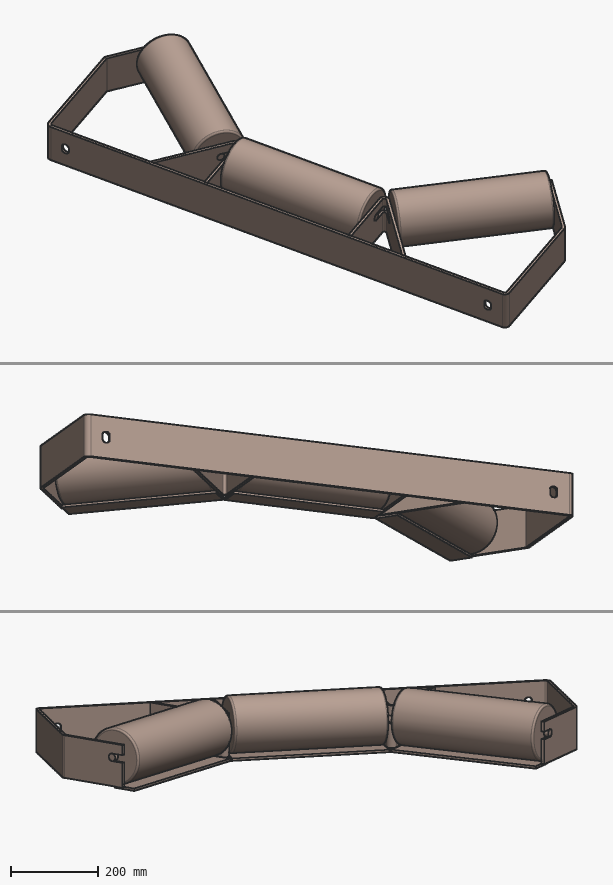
import cadquery as cq
import math

FRAME_WIDTH = 1210.0
STRIP_HEIGHT = 100.0
STRIP_THICKNESS = 7.0
STRIP_BASE = 5.0
BEND_RADIUS = 12.0
ARM_REACH = 29.0

ROLLER_DIAMETER = 133.0
ROLLER_LENGTH = 363.0
ROLLER_EDGE_RADIUS = 5.0
SHAFT_DIAMETER = 18.0
END_GAP = 4.0
SLAB_THICKNESS = 6.0
SLAB_WIDTH = 56.0
SLAB_OFFSET = 2.0

TROUGH_ANGLE = 40.0
CENTER_ROLLER_Y = 125.0
SIDE_ROLLER_X = 368.0
SIDE_ROLLER_Y = 257.0

MOUNT_HOLE_WIDTH = 18.0
MOUNT_HOLE_HEIGHT = 27.0
MOUNT_HOLE_X = 554.0

HALF_WIDTH = FRAME_WIDTH / 2
ROLLER_RADIUS = ROLLER_DIAMETER / 2
INNER_BEND_RADIUS = BEND_RADIUS - STRIP_THICKNESS
AXIS_Z = SLAB_THICKNESS + ROLLER_RADIUS
INNER_FACE = ROLLER_LENGTH / 2 + END_GAP
OUTER_FACE = INNER_FACE + STRIP_THICKNESS
COS = math.cos(math.radians(TROUGH_ANGLE))
SIN = math.sin(math.radians(TROUGH_ANGLE))


def side_point(along, across):
    """XY point given along (outward) and across (upward) the right-hand side roller's axis."""
    x = SIDE_ROLLER_X + along * COS - across * SIN
    y = SIDE_ROLLER_Y + along * SIN + across * COS
    return (x, y)


def arm_y(x, along):
    """Y where the sloping strip face at this distance along the side roller's axis crosses x."""
    return SIDE_ROLLER_Y + (along - (x - SIDE_ROLLER_X) * COS) / SIN


def arm_x(y, along):
    """X where the sloping strip face at this distance along the side roller's axis crosses y."""
    return SIDE_ROLLER_X + (along - (y - SIDE_ROLLER_Y) * SIN) / COS


def mirror_x(points):
    return [(-x, y) for x, y in reversed(points)]


def round_bends(strip, bends, radius):
    """Fillet the vertical edges of a strip at the given XY points."""
    for x, y in bends:
        nearest = cq.NearestToPointSelector((x, y, STRIP_BASE + STRIP_HEIGHT / 2))
        strip = strip.edges("|Z").edges(nearest).fillet(radius)
    return strip


def place_at_side(body, side):
    """Move a body built around the origin along X to the left (-1) or right (+1) roller."""
    turned = body.rotate((0, 0, 0), (0, 0, 1), side * TROUGH_ANGLE)
    return turned.translate((side * SIDE_ROLLER_X, SIDE_ROLLER_Y, 0))


def shaft_slot(end):
    """Cutter for the slot at the -X (-1) or +X (+1) end of a roller: round bottom, open upward.

    It runs past the far face of the strip, to clear the rounding inside a fold as well.
    """
    length = 2 * ROLLER_RADIUS
    depth = end * (STRIP_THICKNESS + BEND_RADIUS)
    plane = cq.Workplane("YZ", origin=(end * INNER_FACE, 0, AXIS_Z))
    bottom = plane.circle(SHAFT_DIAMETER / 2).extrude(depth)
    opening = plane.center(length / 2, 0).rect(length, SHAFT_DIAMETER).extrude(depth)
    return bottom.union(opening)


def make_frame():
    inside_x = HALF_WIDTH - STRIP_THICKNESS
    outer = [
        (HALF_WIDTH, 0),
        (HALF_WIDTH, arm_y(HALF_WIDTH, OUTER_FACE)),
        side_point(OUTER_FACE, ARM_REACH),
    ]
    inner = [
        side_point(INNER_FACE, ARM_REACH),
        (inside_x, arm_y(inside_x, INNER_FACE)),
        (inside_x, STRIP_THICKNESS),
    ]
    right_half = outer + inner
    frame = (
        cq.Workplane("XY", origin=(0, 0, STRIP_BASE))
        .polyline(right_half + mirror_x(right_half))
        .close()
        .extrude(STRIP_HEIGHT)
    )
    frame = round_bends(frame, outer[:2] + mirror_x(outer[:2]), BEND_RADIUS)
    frame = round_bends(frame, inner[1:] + mirror_x(inner[1:]), INNER_BEND_RADIUS)
    holes = (
        cq.Workplane("XZ", origin=(0, 0, STRIP_BASE + STRIP_HEIGHT / 2))
        .pushPoints([(-MOUNT_HOLE_X, 0), (MOUNT_HOLE_X, 0)])
        .slot2D(MOUNT_HOLE_HEIGHT, MOUNT_HOLE_WIDTH, 90)
        .extrude(-STRIP_THICKNESS)
    )
    frame = frame.cut(holes)
    for side in (-1, 1):
        frame = frame.cut(place_at_side(shaft_slot(side), side))
    return frame


def make_bracket(side):
    foot = STRIP_THICKNESS
    outer_fold = (INNER_FACE, arm_y(INNER_FACE, -INNER_FACE))
    inner_fold = (OUTER_FACE, arm_y(OUTER_FACE, -OUTER_FACE))
    points = [
        (INNER_FACE, foot),
        outer_fold,
        (arm_x(foot, -INNER_FACE), foot),
        (arm_x(foot, -OUTER_FACE), foot),
        inner_fold,
        (OUTER_FACE, foot),
    ]
    bracket = (
        cq.Workplane("XY", origin=(0, 0, STRIP_BASE)).polyline(points).close().extrude(STRIP_HEIGHT)
    )
    bracket = round_bends(bracket, [outer_fold], BEND_RADIUS)
    bracket = round_bends(bracket, [inner_fold], INNER_BEND_RADIUS)
    if side < 0:
        bracket = bracket.mirror("YZ")
    center_slot = shaft_slot(side).translate((0, CENTER_ROLLER_Y, 0))
    side_slot = place_at_side(shaft_slot(-side), side)
    return bracket.cut(center_slot).cut(side_slot)


def make_roller():
    shell = (
        cq.Workplane("YZ", origin=(-ROLLER_LENGTH / 2, 0, AXIS_Z))
        .circle(ROLLER_RADIUS)
        .extrude(ROLLER_LENGTH)
        .faces("<X or >X")
        .edges()
        .fillet(ROLLER_EDGE_RADIUS)
    )
    shaft = (
        cq.Workplane("YZ", origin=(-OUTER_FACE, 0, AXIS_Z))
        .circle(SHAFT_DIAMETER / 2)
        .extrude(2 * OUTER_FACE)
    )
    return shell.union(shaft)


def make_slab():
    """Flat slab between the strips, below the upper half of the roller."""
    return (
        cq.Workplane("XY", origin=(0, SLAB_OFFSET, 0))
        .box(2 * INNER_FACE, SLAB_WIDTH, SLAB_THICKNESS, centered=(True, False, False))
    )


frame = make_frame()
brackets = [make_bracket(side) for side in (-1, 1)]


def at_all_stations(body):
    """Copies of a body at the left, centre and right rollers."""
    center = body.translate((0, CENTER_ROLLER_Y, 0))
    return [place_at_side(body, -1), center, place_at_side(body, 1)]


rollers = at_all_stations(make_roller())
slabs = at_all_stations(make_slab())

bodies = [frame, *brackets, *rollers, *slabs]
result = cq.Compound.makeCompound([body.val() for body in bodies])